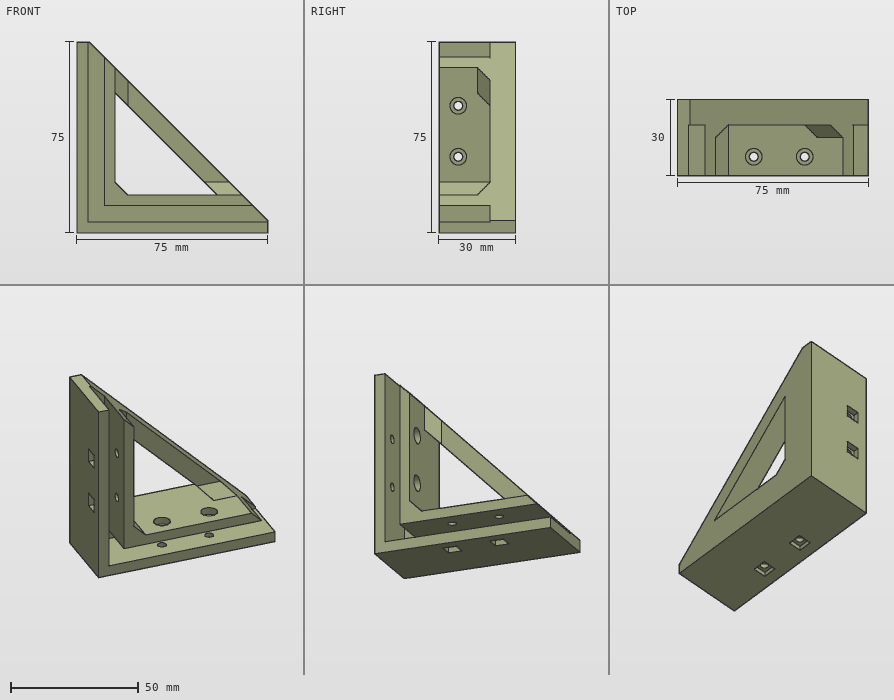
import cadquery as cq

side = 75.0
depth = 30.0

outer_wall = 4.4
inner_wall_start = 10.8
inner_wall_end = 15.0
web_front = 20.0
tip_width = 5.0
brace_width = 10.0
bevel = 5.0

hole_positions = (30.0, 50.0)
hole_y = 7.5
hole_diameter = 3.4
counterbore_diameter = 6.5
counterbore_depth = 3.0
nut_square = 5.7
nut_depth = 2.25

slope_sum = side + tip_width
opening_sum = slope_sum - brace_width
clear_sum = 2 * side
fill_sum = 2 * inner_wall_end + bevel


def extrude_y(points, y_start, y_end):
    """Extrude an XZ outline between two Y positions."""
    plane = cq.Workplane("XZ", origin=(0, y_start, 0))
    return plane.polyline(points).close().extrude(y_start - y_end)


def corner_triangle(corner, diagonal_sum):
    """Right triangle with equal legs whose long side is x + z = diagonal_sum."""
    far = diagonal_sum - corner
    return [(corner, corner), (far, corner), (corner, far)]


def make_body():
    outline = [(0, 0), (side, 0), (side, tip_width), (tip_width, side), (0, side)]
    return extrude_y(outline, 0, depth)


def make_gap():
    """L-shaped channel between the outer and inner walls."""
    outer = extrude_y(corner_triangle(outer_wall, clear_sum), 0, web_front)
    inner = extrude_y(corner_triangle(inner_wall_start, clear_sum), 0, web_front)
    return outer.cut(inner)


def make_recess():
    """Space inside the inner wall, bevelled along its corners with the web."""
    front = corner_triangle(inner_wall_end, clear_sum)
    recess = extrude_y(front, 0, web_front)
    bevel_profile = [
        (inner_wall_end, web_front - bevel),
        (inner_wall_end + bevel, web_front),
        (inner_wall_end, web_front),
    ]
    upright = cq.Workplane("XY").polyline(bevel_profile).close().extrude(side)
    flat_profile = [(y, z) for z, y in bevel_profile]
    flat = cq.Workplane("YZ").polyline(flat_profile).close().extrude(side)
    return recess.cut(upright).cut(flat)


def make_opening():
    """Triangular window through the web."""
    return extrude_y(corner_triangle(inner_wall_end, opening_sum), 0, depth)


def make_corner_fill():
    """45 degree fill in the square corner of the window."""
    return extrude_y(corner_triangle(inner_wall_end, fill_sum), 0, depth)


def make_floor_screw(x):
    """Through hole, nut pocket below and counterbore above, along Z."""
    base = cq.Workplane("XY").center(x, hole_y)
    hole = base.circle(hole_diameter / 2).extrude(inner_wall_end)
    nut = base.rect(nut_square, nut_square).extrude(nut_depth)
    counterbore = (
        base.workplane(offset=inner_wall_end - counterbore_depth)
        .circle(counterbore_diameter / 2)
        .extrude(counterbore_depth)
    )
    return hole.union(nut).union(counterbore)


def swap_x_and_z(shape):
    """Mirror across the plane x = z."""
    turned = shape.rotate((0, 0, 0), (0, 1, 0), -90)
    return turned.mirror("YZ")


result = make_body().cut(make_gap()).cut(make_recess())
result = result.cut(make_opening()).union(make_corner_fill())
for position in hole_positions:
    screw = make_floor_screw(position)
    result = result.cut(screw).cut(swap_x_and_z(screw))